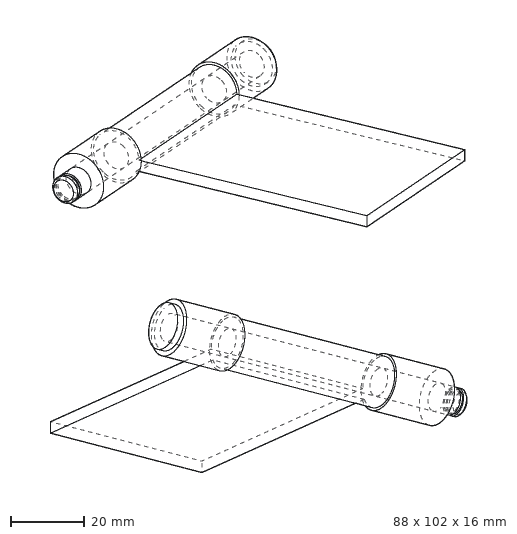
import cadquery as cq

barrel_length = 52.0
barrel_diameter = 14.5

sleeve_length = 20.0
sleeve_diameter = 16.0

plate_reach = 80.0
plate_thickness = 3.4
plate_top = 0.2

pin_diameter = 8.0
pin_protrusion = 8.0
head_diameter = 13.2
head_length = 2.0
groove_diameter = 6.9
groove_start = 5.1
groove_width = 1.0
tip_chamfer = 0.8

barrel_end = barrel_length / 2
sleeve_end = barrel_end + sleeve_length


def cylinder(diameter, y_start, length):
    """Cylinder on the hinge axis, running toward +Y from y_start."""
    start_plane = cq.Plane(origin=(0, y_start, 0), xDir=(1, 0, 0), normal=(0, 1, 0))
    return cq.Workplane(start_plane).circle(diameter / 2).extrude(length)


def make_leaf():
    """Flat plate joined to a bored barrel."""
    plate = cq.Workplane("XY").box(
        plate_reach, barrel_length, plate_thickness, centered=(False, True, False)
    ).translate((0, 0, plate_top - plate_thickness))
    barrel = cylinder(barrel_diameter, -barrel_end, barrel_length)
    bore = cylinder(pin_diameter, -barrel_end, barrel_length)
    return barrel.union(plate).cut(bore)


def make_sleeve(y_start):
    """Plain bored sleeve."""
    bore = cylinder(pin_diameter, y_start, sleeve_length)
    return cylinder(sleeve_diameter, y_start, sleeve_length).cut(bore)


def make_pin():
    """Headed pin with a retaining groove and a chamfered tip at its -Y end."""
    tip_y = -sleeve_end - pin_protrusion
    shank = cylinder(pin_diameter, tip_y, sleeve_end - tip_y).faces("<Y").chamfer(tip_chamfer)
    head = cylinder(head_diameter, sleeve_end, head_length)

    groove_y = -sleeve_end - groove_start - groove_width
    groove_core = cylinder(groove_diameter, groove_y, groove_width)
    groove = cylinder(pin_diameter, groove_y, groove_width).cut(groove_core)
    return shank.union(head).cut(groove)


leaf = make_leaf()
pin = make_pin()
sleeves = [make_sleeve(y_start) for y_start in (-sleeve_end, barrel_end)]

result = cq.Compound.makeCompound(
    [leaf.solids().val(), pin.solids().val(), *[sleeve.solids().val() for sleeve in sleeves]]
)